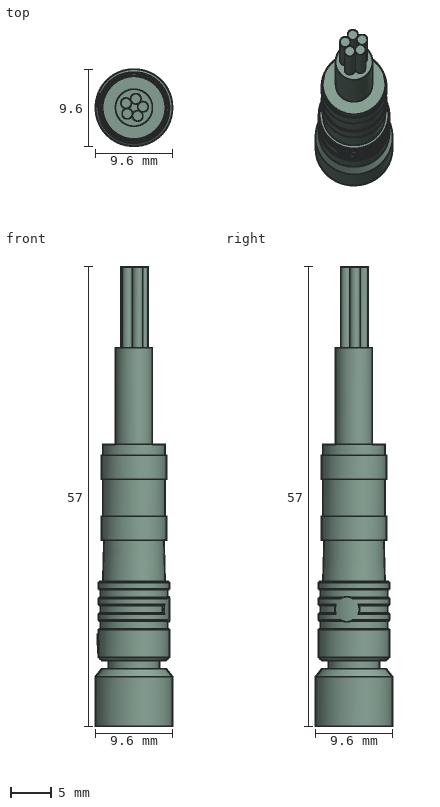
import cadquery as cq

TOTAL_HEIGHT = 57.01
TWIST = -12.0

NUT_RADIUS = 4.8
NUT_HEIGHT = 7.15
NUT_CHAMFER_WIDTH = 0.8
NUT_CHAMFER_HEIGHT = 1.0

NECK_RADIUS = 3.2
NECK_HEIGHT = 1.0
GRIP_RADIUS = 4.42
GRIP_TOP = 17.98
GRIP_CHAMFER = 0.45

RIB_COUNT = 3
GROOVE_RADIUS = 4.2
RIB_PITCH = 1.95
RIB_HEIGHT = 1.05
RIB_CHAMFER = 0.17

BADGE_RADIUS = 1.55
BADGE_LEVEL = GRIP_TOP - 1.5 * RIB_PITCH - RIB_HEIGHT / 2

ARROW_RADIUS = 4.57
ARROW_TOP = 11.45
ARROW_LENGTH = 2.3
ARROW_WIDTH = 1.6

SLEEVE_RADIUS = 3.88
SLEEVE_WAIST_RADIUS = 3.74
BAND_RADIUS = 4.05
BAND_HEIGHT = 3.0
LOWER_BAND_BASE = 23.1
UPPER_BAND_BASE = 30.65

CABLE_RADIUS = 2.3
CABLE_LENGTH = 12.0
CORE_COUNT = 5
CORE_RADIUS = 0.65
CORE_CIRCLE_RADIUS = 1.12
CORE_LENGTH = 10.0
FIRST_CORE_ANGLE = 90.0

CABLE_TOP = TOTAL_HEIGHT - CORE_LENGTH
SLEEVE_TOP = CABLE_TOP - CABLE_LENGTH
GRIP_BASE = NUT_HEIGHT + NECK_HEIGHT


def disc(radius, base, top):
    return cq.Workplane("XY").workplane(offset=base).circle(radius).extrude(top - base)


def revolved(profile):
    return cq.Workplane("XZ").polyline(profile).close().revolve(360, (0, 0, 0), (0, 1, 0))


def make_nut():
    return revolved([
        (0, 0),
        (NUT_RADIUS, 0),
        (NUT_RADIUS, NUT_HEIGHT - NUT_CHAMFER_HEIGHT),
        (NUT_RADIUS - NUT_CHAMFER_WIDTH, NUT_HEIGHT),
        (0, NUT_HEIGHT),
    ])


def make_rib(top):
    base = top - RIB_HEIGHT
    return disc(GRIP_RADIUS, base, top).edges().chamfer(RIB_CHAMFER)


def make_grip():
    collar_top = GRIP_TOP - RIB_COUNT * RIB_PITCH
    collar = revolved([
        (0, GRIP_BASE),
        (GRIP_RADIUS - GRIP_CHAMFER, GRIP_BASE),
        (GRIP_RADIUS, GRIP_BASE + GRIP_CHAMFER),
        (GRIP_RADIUS, collar_top - RIB_CHAMFER),
        (GRIP_RADIUS - RIB_CHAMFER, collar_top),
        (0, collar_top),
    ])
    grip = collar.union(disc(GROOVE_RADIUS, collar_top, GRIP_TOP - RIB_HEIGHT))
    for index in range(RIB_COUNT):
        grip = grip.union(make_rib(GRIP_TOP - index * RIB_PITCH))
    return grip


def make_badge():
    badge = cq.Workplane("YZ").center(0, BADGE_LEVEL).circle(BADGE_RADIUS).extrude(NUT_RADIUS)
    return badge.intersect(disc(GRIP_RADIUS, GRIP_BASE, GRIP_TOP))


def make_arrow():
    arrow = (
        cq.Workplane("YZ")
        .polyline([
            (-ARROW_WIDTH / 2, ARROW_TOP),
            (ARROW_WIDTH / 2, ARROW_TOP),
            (0, ARROW_TOP - ARROW_LENGTH),
        ])
        .close()
        .extrude(-NUT_RADIUS)
    )
    return arrow.intersect(disc(ARROW_RADIUS, GRIP_BASE, GRIP_TOP))


def make_sleeve():
    waist = revolved([
        (0, GRIP_TOP),
        (SLEEVE_RADIUS, GRIP_TOP),
        (SLEEVE_WAIST_RADIUS, LOWER_BAND_BASE),
        (0, LOWER_BAND_BASE),
    ])
    sleeve = waist.union(disc(SLEEVE_RADIUS, LOWER_BAND_BASE, SLEEVE_TOP))
    for base in (LOWER_BAND_BASE, UPPER_BAND_BASE):
        sleeve = sleeve.union(disc(BAND_RADIUS, base, base + BAND_HEIGHT))
    return sleeve


def make_cable():
    cable = disc(CABLE_RADIUS, SLEEVE_TOP, CABLE_TOP)
    cores = (
        cq.Workplane("XY")
        .workplane(offset=CABLE_TOP)
        .polarArray(CORE_CIRCLE_RADIUS, FIRST_CORE_ANGLE, 360, CORE_COUNT)
        .circle(CORE_RADIUS)
        .extrude(CORE_LENGTH)
    )
    return cable.union(cores)


def make_connector():
    connector = disc(NECK_RADIUS, NUT_HEIGHT, GRIP_BASE)
    for section in (make_grip(), make_badge(), make_arrow(), make_sleeve(), make_cable()):
        connector = connector.union(section)
    return connector.rotate((0, 0, 0), (0, 0, 1), TWIST)


nut = make_nut()
connector = make_connector()
result = cq.Compound.makeCompound([nut.val(), connector.val()])